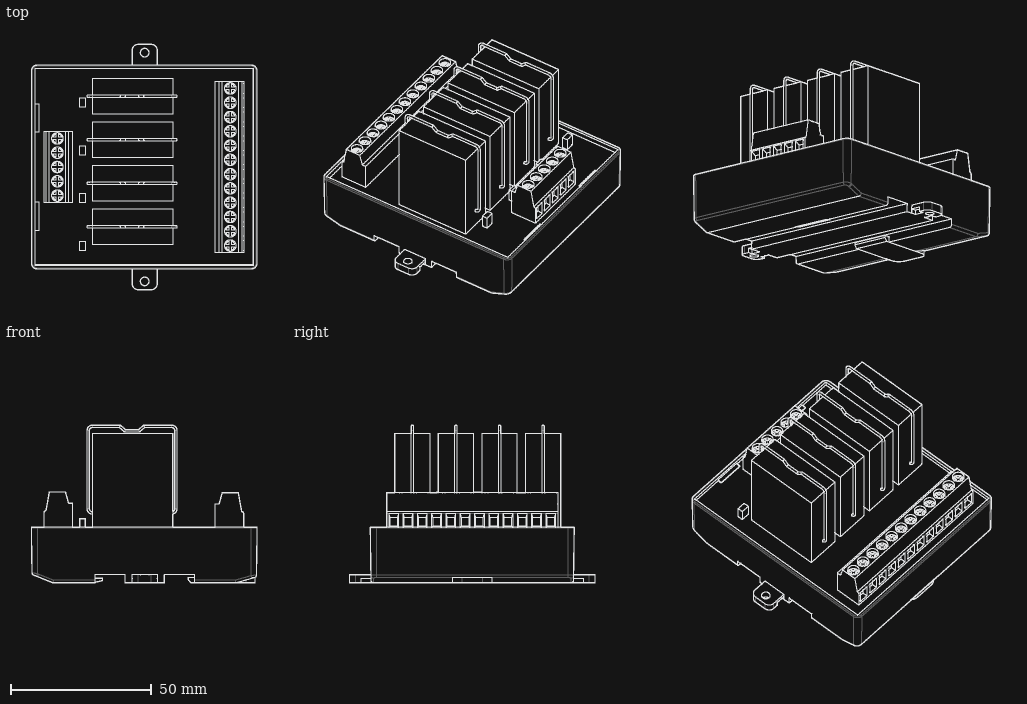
import cadquery as cq
import math

HOUSING_LENGTH = 80.41
HOUSING_WIDTH = 72.65
HOUSING_HEIGHT = 19.9
CORNER_RADIUS = 2.2
DRAFT_ANGLE = 0.8
RIM_WALL = 1.3
RIM_FILLET = 0.4
UNDERSIDE_FILLET = 1.0
FLAT_END = 32.5
SLOPE_RISE_LEFT = 3.1
SLOPE_RISE_RIGHT = 2.2

RAIL_CENTRE_X = 0.15
RAIL_HALF_WIDTH = 17.65
RAIL_DEPTH = 3.0
SPINE_HALF_WIDTH = 7.0

FIXED_HOOK_REACH = 2.7
FIXED_HOOK_TOP = 1.7
FIXED_HOOK_TIP_BOTTOM = 0.8
FIXED_HOOK_BOTTOM = 0.2
HOOK_WIDTH = 14.0

CLIP_THICKNESS = 2.0
CLIP_TIP_X = 15.6
CLIP_TAIL_X = 39.45
CLIP_TIP_BEVEL_RUN = 1.0
CLIP_TIP_BEVEL_RISE = 1.2
CLIP_TAIL_RADIUS = 3.3

OVERALL_WIDTH = 87.37
TAB_WIDTH = 9.0
TAB_ROOT = 1.0
TAB_CORNER_RADIUS = 2.2
TAB_HOLE_DIAMETER = 3.0
TAB_HOLE_FROM_END = 3.0
TAB_NOTCH_END_Y = 39.6
TAB_NOTCH_HEIGHT = 1.6
TAB_NOTCH_DEPTH = 2.0

LUG_LENGTH = 10.0
LUG_REACH = 1.5
LUG_HEIGHT_AT_WALL = 0.6
LUG_HEIGHT_AT_TIP = 0.3
LUG_Y = 17.5

BOARD_TOP = 18.2
BOARD_THICKNESS = 1.6
BOARD_GAP = 0.3

RELAY_COUNT = 4
RELAY_PITCH = 15.5
RELAY_CENTRE_X = -4.15
RELAY_CENTRE_Y = 1.95
RELAY_LENGTH = 28.6
RELAY_WIDTH = 12.6
RELAY_TOP = 53.2
OVERALL_HEIGHT = 56.16
WIRE_DIAMETER = 0.9
WIRE_CENTRE_X = -4.35
WIRE_SPAN = 31.2
WIRE_FOOT_Z = 24.9
WIRE_BEND_RADIUS = 1.5
WIRE_DIP_DEPTH = 1.6
WIRE_DIP_FLAT = 5.0
WIRE_DIP_MOUTH = 8.6
WIRE_FOOT_EMBED = 0.5

LAMP_COUNT = 4
LAMP_PITCH = 17.0
LAMP_CENTRE_X = -21.95
LAMP_CENTRE_Y = -2.55
LAMP_LENGTH = 2.0
LAMP_WIDTH = 3.2
LAMP_TOP = 22.9

TERMINAL_PITCH = 5.08
TERMINAL_DEPTH = 10.25
TERMINAL_TOP = 32.4
TERMINAL_STEP_Z = 28.4
TERMINAL_FRONT_TOP = 25.0
TERMINAL_BROW_RADIUS = 0.7
TERMINAL_TOP_FRONT = 1.9
TERMINAL_TOP_BACK = 7.7
TERMINAL_STEP_FRONT = 8.8
SCREW_DIAMETER = 4.1
SCREW_HEAD_DIAMETER = 3.3
SCREW_RECESS_DEPTH = 1.3
CROSS_WIDTH = 0.9
CROSS_DEPTH = 0.5
ENTRY_WIDTH = 3.5
ENTRY_TOP = 24.95
ENTRY_BOTTOM = 19.8
ENTRY_INNER_WIDTH = 2.7
ENTRY_INNER_TOP = 23.65
ENTRY_INNER_BOTTOM = 20.5
ENTRY_DEPTH = 1.5
LEFT_TERMINAL_FRONT_X = -35.7
LEFT_TERMINAL_WAYS = 5
RIGHT_TERMINAL_FRONT_X = 35.4
RIGHT_TERMINAL_WAYS = 12
RIGHT_TERMINAL_DROP = 0.3

HALF_LENGTH = HOUSING_LENGTH / 2
HALF_WIDTH = HOUSING_WIDTH / 2
POCKET_HALF_LENGTH = HALF_LENGTH - RIM_WALL
POCKET_HALF_WIDTH = HALF_WIDTH - RIM_WALL
BOARD_BOTTOM = BOARD_TOP - BOARD_THICKNESS
SEAT_LEFT_X = RAIL_CENTRE_X - RAIL_HALF_WIDTH
SEAT_RIGHT_X = RAIL_CENTRE_X + RAIL_HALF_WIDTH
SPINE_LEFT_X = RAIL_CENTRE_X - SPINE_HALF_WIDTH
SPINE_RIGHT_X = RAIL_CENTRE_X + SPINE_HALF_WIDTH
TAB_LEFT_X = RAIL_CENTRE_X - TAB_WIDTH / 2
TAB_RIGHT_X = RAIL_CENTRE_X + TAB_WIDTH / 2
SEAT_WALL_Y = HALF_WIDTH - (HOUSING_HEIGHT - RAIL_DEPTH) * math.tan(math.radians(DRAFT_ANGLE))


def centred_row(count, pitch, middle=0.0):
    """Positions of evenly spaced items about a middle."""
    return [middle + (i - (count - 1) / 2) * pitch for i in range(count)]


def box_between(x0, x1, y0, y1, z0, z1):
    return cq.Workplane("XY").box(x1 - x0, y1 - y0, z1 - z0, centered=False).translate((x0, y0, z0))


def extrude_along_y(points, y0, y1):
    """Solid with an XZ outline, spanning y0 to y1."""
    return cq.Workplane("XZ", origin=(0, y1, 0)).polyline(points).close().extrude(y1 - y0)


def drafted_block():
    """Block with rounded corners whose walls lean inward towards the underside."""
    return (
        cq.Workplane("XY", origin=(0, 0, HOUSING_HEIGHT))
        .sketch()
        .rect(HOUSING_LENGTH, HOUSING_WIDTH)
        .vertices()
        .fillet(CORNER_RADIUS)
        .finalize()
        .extrude(-HOUSING_HEIGHT, taper=DRAFT_ANGLE)
    )


def outer_block():
    """Drafted block with sloped underside ends, rounded underside edge and rounded rim."""
    block = drafted_block()
    for side, rise in ((-1, SLOPE_RISE_LEFT), (1, SLOPE_RISE_RIGHT)):
        slope = [(side * FLAT_END, 0), (side * HALF_LENGTH, 0), (side * HALF_LENGTH, rise)]
        block = block.cut(extrude_along_y(slope, -HALF_WIDTH, HALF_WIDTH))
    underside = [f for f in block.faces().vals() if f.normalAt().z < -0.5]
    all_edges = [e for f in underside for e in f.Edges()]
    outer_edges = [e for e in all_edges if sum(e.isSame(other) for other in all_edges) == 1]
    block = block.newObject(outer_edges).fillet(UNDERSIDE_FILLET)
    return block.faces(">Z").edges().fillet(RIM_FILLET)


def screw_tab(side):
    """Screw tab at one Y end, notched low on both sides at its root."""
    end_y = OVERALL_WIDTH / 2
    tab = box_between(TAB_LEFT_X, TAB_RIGHT_X, SEAT_WALL_Y - TAB_ROOT, end_y, 0, RAIL_DEPTH)
    tab = tab.edges("|Z and >Y").fillet(TAB_CORNER_RADIUS)
    hole = (
        cq.Workplane("XY")
        .center(RAIL_CENTRE_X, end_y - TAB_HOLE_FROM_END)
        .circle(TAB_HOLE_DIAMETER / 2)
        .extrude(RAIL_DEPTH)
    )
    tab = tab.cut(hole)
    for x0 in (TAB_LEFT_X, TAB_RIGHT_X - TAB_NOTCH_DEPTH):
        tab = tab.cut(
            box_between(x0, x0 + TAB_NOTCH_DEPTH, SEAT_WALL_Y, TAB_NOTCH_END_Y, 0, TAB_NOTCH_HEIGHT)
        )
    return tab if side > 0 else tab.mirror("XZ")


def fixed_hook():
    tip_x = SEAT_LEFT_X + FIXED_HOOK_REACH
    outline = [
        (SEAT_LEFT_X, FIXED_HOOK_BOTTOM),
        (tip_x, FIXED_HOOK_TIP_BOTTOM),
        (tip_x, FIXED_HOOK_TOP),
        (SEAT_LEFT_X, FIXED_HOOK_TOP),
    ]
    return extrude_along_y(outline, -HOOK_WIDTH / 2, HOOK_WIDTH / 2)


def snap_lug(y):
    wall_x = -POCKET_HALF_LENGTH
    tip_x = wall_x + LUG_REACH
    outline = [
        (wall_x, BOARD_TOP),
        (tip_x, BOARD_TOP),
        (tip_x, BOARD_TOP + LUG_HEIGHT_AT_TIP),
        (wall_x, BOARD_TOP + LUG_HEIGHT_AT_WALL),
    ]
    return extrude_along_y(outline, y - LUG_LENGTH / 2, y + LUG_LENGTH / 2)


def make_housing():
    body = outer_block()
    body = body.cut(
        box_between(-POCKET_HALF_LENGTH, POCKET_HALF_LENGTH, -POCKET_HALF_WIDTH, POCKET_HALF_WIDTH,
                    BOARD_BOTTOM, HOUSING_HEIGHT)
    )
    body = body.cut(
        box_between(SEAT_LEFT_X, SEAT_RIGHT_X, -HALF_WIDTH, HALF_WIDTH, 0, RAIL_DEPTH)
    )
    spine = drafted_block().intersect(
        box_between(SPINE_LEFT_X, SPINE_RIGHT_X, -HALF_WIDTH, HALF_WIDTH, 0, RAIL_DEPTH)
    )
    body = body.union(spine)
    body = body.union(fixed_hook())
    body = body.cut(
        box_between(SEAT_RIGHT_X, HALF_LENGTH, -HOOK_WIDTH / 2, HOOK_WIDTH / 2, 0, CLIP_THICKNESS)
    )
    for side in (-1, 1):
        body = body.union(screw_tab(side))
        body = body.union(snap_lug(side * LUG_Y))
    return body


def make_rail_clip():
    outline = [
        (CLIP_TIP_X, CLIP_TIP_BEVEL_RISE),
        (CLIP_TIP_X + CLIP_TIP_BEVEL_RUN, 0),
        (CLIP_TAIL_X, 0),
        (CLIP_TAIL_X, CLIP_THICKNESS),
        (CLIP_TIP_X, CLIP_THICKNESS),
    ]
    clip = extrude_along_y(outline, -HOOK_WIDTH / 2, HOOK_WIDTH / 2)
    return clip.edges("|Z and >X").fillet(CLIP_TAIL_RADIUS)


def board():
    return box_between(-POCKET_HALF_LENGTH, POCKET_HALF_LENGTH - BOARD_GAP,
                       -POCKET_HALF_WIDTH + BOARD_GAP, POCKET_HALF_WIDTH, BOARD_BOTTOM, BOARD_TOP)


def relay(y):
    return box_between(RELAY_CENTRE_X - RELAY_LENGTH / 2, RELAY_CENTRE_X + RELAY_LENGTH / 2,
                       y - RELAY_WIDTH / 2, y + RELAY_WIDTH / 2, BOARD_TOP, RELAY_TOP)


def retaining_wire(y):
    """Round wire hoop over a relay; its feet bend inward into the relay's sides."""
    top_z = OVERALL_HEIGHT - WIRE_DIAMETER / 2
    dip_z = top_z - WIRE_DIP_DEPTH
    half_span = WIRE_SPAN / 2
    foot_x = RELAY_LENGTH / 2 - WIRE_FOOT_EMBED
    r = WIRE_BEND_RADIUS
    bend = r * math.sqrt(0.5)
    path = (
        cq.Workplane("XZ", origin=(WIRE_CENTRE_X, y, 0))
        .moveTo(-foot_x, WIRE_FOOT_Z)
        .lineTo(-half_span + r, WIRE_FOOT_Z)
        .threePointArc((-half_span + r - bend, WIRE_FOOT_Z + r - bend), (-half_span, WIRE_FOOT_Z + r))
        .lineTo(-half_span, top_z - r)
        .threePointArc((-half_span + r - bend, top_z - r + bend), (-half_span + r, top_z))
        .lineTo(-WIRE_DIP_MOUTH / 2, top_z)
        .lineTo(-WIRE_DIP_FLAT / 2, dip_z)
        .lineTo(WIRE_DIP_FLAT / 2, dip_z)
        .lineTo(WIRE_DIP_MOUTH / 2, top_z)
        .lineTo(half_span - r, top_z)
        .threePointArc((half_span - r + bend, top_z - r + bend), (half_span, top_z - r))
        .lineTo(half_span, WIRE_FOOT_Z + r)
        .threePointArc((half_span - r + bend, WIRE_FOOT_Z + r - bend), (half_span - r, WIRE_FOOT_Z))
        .lineTo(foot_x, WIRE_FOOT_Z)
    )
    section = cq.Workplane("YZ", origin=(WIRE_CENTRE_X - foot_x, y, WIRE_FOOT_Z))
    return section.circle(WIRE_DIAMETER / 2).sweep(path, transition="right")


def lamp(y):
    return box_between(LAMP_CENTRE_X - LAMP_LENGTH / 2, LAMP_CENTRE_X + LAMP_LENGTH / 2,
                       y - LAMP_WIDTH / 2, y + LAMP_WIDTH / 2, BOARD_TOP, LAMP_TOP)


def clamp_screw_cut(x, y):
    """Recess in the block top that leaves a round screw head parted by a cross slot."""
    floor_z = TERMINAL_TOP - SCREW_RECESS_DEPTH - CROSS_DEPTH
    floor = cq.Workplane("XY", origin=(x, y, floor_z))
    recess = floor.circle(SCREW_DIAMETER / 2).extrude(SCREW_RECESS_DEPTH + CROSS_DEPTH)
    head = floor.circle(SCREW_HEAD_DIAMETER / 2).extrude(CROSS_DEPTH)
    head = head.cut(floor.rect(SCREW_DIAMETER, CROSS_WIDTH).extrude(CROSS_DEPTH))
    head = head.cut(floor.rect(CROSS_WIDTH, SCREW_DIAMETER).extrude(CROSS_DEPTH))
    return recess.cut(head)


def wire_entry_cut(y):
    """Funnel in the front face, narrowing inward."""
    mouth_middle = (ENTRY_TOP + ENTRY_BOTTOM) / 2
    inner_middle = (ENTRY_INNER_TOP + ENTRY_INNER_BOTTOM) / 2
    return (
        cq.Workplane("YZ", origin=(0, y, mouth_middle))
        .rect(ENTRY_WIDTH, ENTRY_TOP - ENTRY_BOTTOM)
        .workplane(offset=ENTRY_DEPTH)
        .center(0, inner_middle - mouth_middle)
        .rect(ENTRY_INNER_WIDTH, ENTRY_INNER_TOP - ENTRY_INNER_BOTTOM)
        .loft(combine=True)
    )


def terminal_block(ways, foot_z):
    """Terminal block with its front face on X = 0, facing -X, centred on Y = 0."""
    half = ways * TERMINAL_PITCH / 2
    r = TERMINAL_BROW_RADIUS
    bend = r * math.sqrt(0.5)
    block = (
        cq.Workplane("XZ", origin=(0, half, 0))
        .moveTo(0, foot_z)
        .lineTo(0, TERMINAL_FRONT_TOP)
        .threePointArc((r - bend, TERMINAL_FRONT_TOP + bend), (r, TERMINAL_FRONT_TOP + r))
        .lineTo(TERMINAL_TOP_FRONT, TERMINAL_TOP)
        .lineTo(TERMINAL_TOP_BACK, TERMINAL_TOP)
        .lineTo(TERMINAL_STEP_FRONT, TERMINAL_STEP_Z)
        .lineTo(TERMINAL_DEPTH, TERMINAL_STEP_Z)
        .lineTo(TERMINAL_DEPTH, foot_z)
        .close()
        .extrude(2 * half)
    )
    screw_x = (TERMINAL_TOP_FRONT + TERMINAL_TOP_BACK) / 2
    for y in centred_row(ways, TERMINAL_PITCH):
        block = block.cut(clamp_screw_cut(screw_x, y))
        block = block.cut(wire_entry_cut(y))
    return block


def make_board_assembly():
    assembly = board()
    for y in centred_row(RELAY_COUNT, RELAY_PITCH, RELAY_CENTRE_Y):
        assembly = assembly.union(relay(y)).union(retaining_wire(y))
    for y in centred_row(LAMP_COUNT, LAMP_PITCH, LAMP_CENTRE_Y):
        assembly = assembly.union(lamp(y))
    left_block = terminal_block(LEFT_TERMINAL_WAYS, BOARD_TOP).translate((LEFT_TERMINAL_FRONT_X, 0, 0))
    right_block = (
        terminal_block(RIGHT_TERMINAL_WAYS, BOARD_TOP + RIGHT_TERMINAL_DROP)
        .rotate((0, 0, 0), (0, 0, 1), 180)
        .translate((RIGHT_TERMINAL_FRONT_X, 0, -RIGHT_TERMINAL_DROP))
    )
    return assembly.union(left_block).union(right_block)


housing = make_housing()
rail_clip = make_rail_clip()
board_assembly = make_board_assembly()

result = cq.Compound.makeCompound([housing.val(), rail_clip.val(), board_assembly.val()])